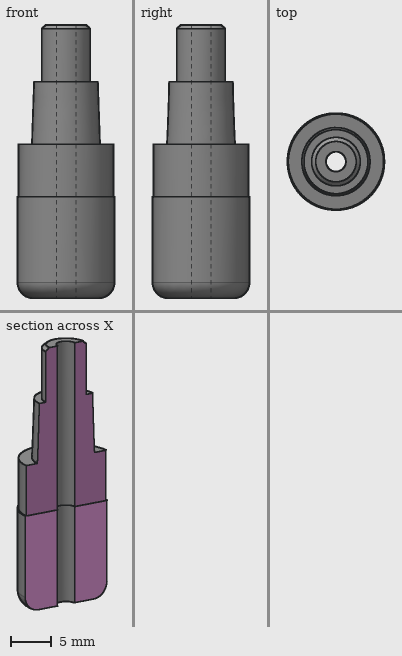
import cadquery as cq

total_height = 33.7
bore_radius = 1.2

base_radius = 6.0
base_height = 12.5
base_rounding = 2.0

collar_radius = 5.85
collar_top = 19.0
neck_bottom_radius = 4.2
neck_top_radius = 3.95
neck_top = 26.72
spigot_radius = 3.0
chamfer_width = 0.5
chamfer_height = 0.45


def make_base():
    """Cylinder with a rounded bottom edge and a through bore."""
    base = cq.Workplane("XY").circle(base_radius).extrude(base_height)
    base = base.faces("<Z").edges().fillet(base_rounding)
    bore = cq.Workplane("XY").circle(bore_radius).extrude(base_height)
    return base.cut(bore)


def make_stem():
    """Revolved stem resting on the base, with the bore running on through it."""
    profile = (
        cq.Workplane("XZ")
        .moveTo(bore_radius, base_height)
        .lineTo(collar_radius, base_height)
        .lineTo(collar_radius, collar_top)
        .lineTo(neck_bottom_radius, collar_top)
        .lineTo(neck_top_radius, neck_top)
        .lineTo(spigot_radius, neck_top)
        .lineTo(spigot_radius, total_height - chamfer_height)
        .lineTo(spigot_radius - chamfer_width, total_height)
        .lineTo(bore_radius, total_height)
        .close()
    )
    return profile.revolve(360, (0, 0, 0), (0, 1, 0))


base = make_base()
stem = make_stem()

result = cq.Compound.makeCompound([base.val(), stem.val()])